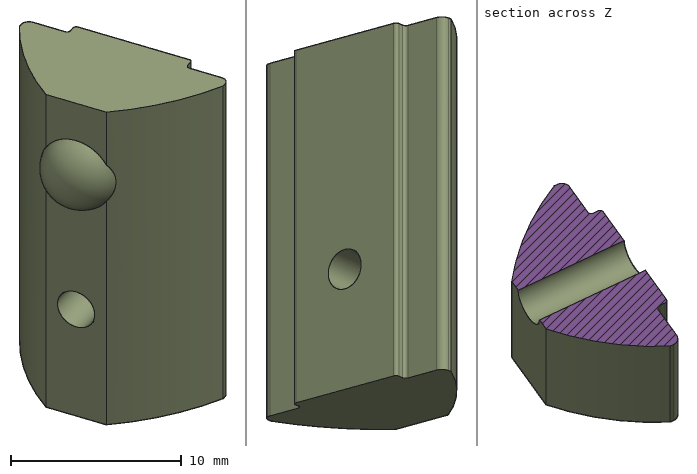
import cadquery as cq
import math

length = 22.0
width = 13.5
total_depth = 8.93

body_depth = 7.2
front_flat_width = 4.0
strip_width = 7.79
strip_height = 0.8
strip_fillet = 0.22
shoulder_fillet = 0.5
flank_start_depth = 1.55
flank_radius = 16.5

ball_radius = 2.49
ball_from_top = 5.0
hole_diameter = 2.46
hole_from_ball = 9.5

half_width = width / 2
half_flat = front_flat_width / 2
half_strip = strip_width / 2
ball_z = length - ball_from_top
hole_z = ball_z - hole_from_ball


def flank_midpoint():
    """Point halfway along the right convex flank of the cross-section."""
    run = half_width - half_flat
    drop = body_depth - flank_start_depth
    chord = math.hypot(run, drop)
    bulge = flank_radius - math.sqrt(flank_radius**2 - (chord / 2) ** 2)
    x = (half_width + half_flat) / 2 + bulge * drop / chord
    y = -(body_depth + flank_start_depth) / 2 - bulge * run / chord
    return x, y


def make_body():
    """Slot-nut bar with bulging flanks and a raised strip along its back."""
    mid_x, mid_y = flank_midpoint()
    bar = (
        cq.Workplane("XY")
        .moveTo(-half_flat, -body_depth)
        .lineTo(half_flat, -body_depth)
        .threePointArc((mid_x, mid_y), (half_width, -flank_start_depth))
        .lineTo(half_width, -strip_height)
        .lineTo(half_strip, -strip_height)
        .lineTo(half_strip, 0)
        .lineTo(-half_strip, 0)
        .lineTo(-half_strip, -strip_height)
        .lineTo(-half_width, -strip_height)
        .lineTo(-half_width, -flank_start_depth)
        .threePointArc((-mid_x, mid_y), (-half_flat, -body_depth))
        .close()
        .extrude(length)
    )
    for side in (-1, 1):
        shoulder_edge = cq.NearestToPointSelector((side * half_width, -strip_height, length / 2))
        bar = bar.edges("|Z").edges(shoulder_edge).fillet(shoulder_fillet)
        for y in (0, -strip_height):
            strip_edge = cq.NearestToPointSelector((side * half_strip, y, length / 2))
            bar = bar.edges("|Z").edges(strip_edge).fillet(strip_fillet)
    return bar


def make_ball():
    """Detent ball standing partly out of the front flat."""
    center_y = ball_radius - total_depth
    return cq.Workplane("XY").sphere(ball_radius).translate((0, center_y, ball_z))


def make_hole():
    """Cutter for the through hole, running from the back face past the front flat."""
    return cq.Workplane("XZ").center(0, hole_z).circle(hole_diameter / 2).extrude(total_depth)


result = make_body().union(make_ball()).cut(make_hole())